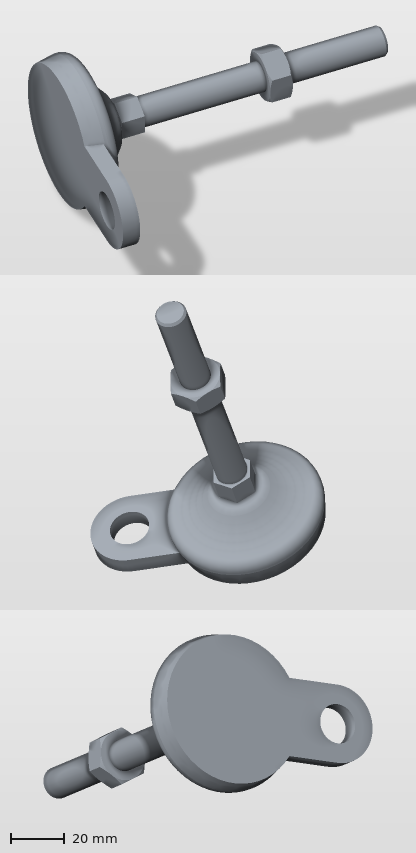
import cadquery as cq
import math


rim_radius = 60.0 / 2
base_radius = 28.5
taper_height = 7.5
rim_top = 8.8
rim_round = 4.0
rim_round_angle = math.radians(80)
shoulder_radius = 12.0
shoulder_height = 20.3
crown_radius = 8.5
foot_height = 21.9

lug_thickness = 7.0
lug_radius = 15.0
lug_hole_diameter = 15.0
lug_center = 45.0

total_length = 132.0
stud_diameter = 12.0
stud_tip_length = 1.0
stud_tip_inset = 0.8
neck_diameter = 10.0
collar_start = 22.8
collar_length = 9.2
collar_flats = 14.0
nut_start = 82.1
nut_length = 9.2
nut_flats = 19.0
nut_chamfer_angle = math.radians(30)


def cylinder_along_y(diameter, start, length):
    """Cylinder around the stud axis."""
    return cq.Workplane("XZ", origin=(0, start, 0)).circle(diameter / 2).extrude(-length)


def hexagon_along_y(flats, start, length):
    """Hexagonal prism with two flats facing -X and +X."""
    corner_diameter = flats / math.cos(math.pi / 6)
    return (
        cq.Workplane("XZ", origin=(0, start, 0))
        .transformed(rotate=(0, 0, 30))
        .polygon(6, corner_diameter)
        .extrude(-length)
    )


def revolve_around_stud(profile):
    return profile.close().revolve(360, (0, 0, 0), (0, 1, 0))


def make_foot():
    """Tapered base, rounded rim, concave flank and rounded crown."""
    rim_round_end = (
        rim_radius - rim_round + rim_round * math.cos(rim_round_angle),
        rim_top + rim_round * math.sin(rim_round_angle),
    )
    profile = (
        cq.Workplane("XY")
        .lineTo(base_radius, 0)
        .lineTo(rim_radius, taper_height)
        .lineTo(rim_radius, rim_top)
        .tangentArcPoint(rim_round_end, relative=False)
        .tangentArcPoint((shoulder_radius, shoulder_height), relative=False)
        .tangentArcPoint((crown_radius, foot_height), relative=False)
        .lineTo(0, foot_height)
    )
    return revolve_around_stud(profile)


def make_lug():
    """Flat lug with a round end, reaching back to the stud axis."""
    return (
        cq.Workplane("XZ")
        .moveTo(0, -lug_radius)
        .lineTo(lug_center, -lug_radius)
        .threePointArc((lug_center + lug_radius, 0), (lug_center, lug_radius))
        .lineTo(0, lug_radius)
        .close()
        .moveTo(lug_center, 0)
        .circle(lug_hole_diameter / 2)
        .extrude(-lug_thickness)
    )


def make_stud():
    """Neck, hexagonal collar and rod with a chamfered tip."""
    collar_end = collar_start + collar_length
    neck = cylinder_along_y(neck_diameter, foot_height, collar_start - foot_height)
    collar = hexagon_along_y(collar_flats, collar_start, collar_length)
    rod = (
        cylinder_along_y(stud_diameter, collar_end, total_length - collar_end)
        .faces(">Y")
        .edges()
        .chamfer(stud_tip_length, stud_tip_inset)
    )
    return neck.union(collar).union(rod)


def make_nut():
    """Hexagonal nut whose corners are cut by a cone at both ends."""
    flat_radius = nut_flats / 2
    corner_radius = flat_radius / math.cos(math.pi / 6)
    chamfer_length = (corner_radius - flat_radius) * math.tan(nut_chamfer_angle)
    nut_end = nut_start + nut_length
    envelope = (
        cq.Workplane("XY")
        .moveTo(0, nut_start)
        .lineTo(flat_radius, nut_start)
        .lineTo(corner_radius, nut_start + chamfer_length)
        .lineTo(corner_radius, nut_end - chamfer_length)
        .lineTo(flat_radius, nut_end)
        .lineTo(0, nut_end)
    )
    return hexagon_along_y(nut_flats, nut_start, nut_length).intersect(revolve_around_stud(envelope))


result = make_foot().union(make_lug()).union(make_stud()).union(make_nut())